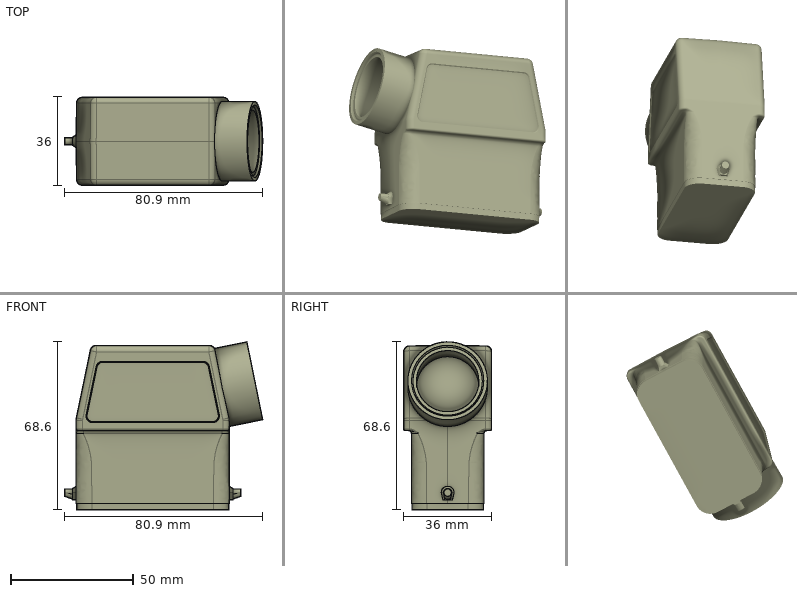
import cadquery as cq
import math


seal_height = 2.5
seal_length = 62.2
seal_width = 29.3
seal_corner_radius = 6.3

hood_half_length = 31.35
hood_width = 36.0
hood_top = 67.15
bend_height = 37.0
slope_angle = 11.7
face_draft = 0.75
bend_radius = 5.0
edge_radius = 2.5

skirt_width = 29.7
ledge_height = 32.3
ledge_outer_radius = 0.7
ledge_cove_radius = 1.2
skirt_corner_radius = 6.3
corner_top_radius = 2.8
corner_taper_start = 16.5
corner_sections = 10

panel_depth = 0.4
panel_wall_taper = 45.0
panel_bottom = 35.6
panel_top = 60.6
panel_margin = 3.8
panel_corner_radius = 2.7

collar_diameter = 32.5
collar_tilt = 11.5
collar_end_x = 41.7
collar_end_z = 52.7
collar_length = 18.0
mouth_diameter = 29.5
mouth_floor_diameter = 28.3
mouth_depth = 0.9
bore_diameter = 25.5
bore_depth = 13.4

peg_diameter = 3.0
peg_height = 7.0
peg_tip_x = 36.0
peg_sag = 1.2
boss_reach = 1.35
boss_root_radius = 2.95
boss_end_radius = 1.7
boss_bottom = 4.05
boss_root_foot = 2.2
boss_end_foot = 1.2
peg_embed = 0.5

slope_run = (hood_top - bend_height) * math.tan(math.radians(slope_angle))
draft_slope = math.tan(math.radians(face_draft))
skirt_half = skirt_width / 2
hood_half_width = hood_width / 2
skirt_end_x = hood_half_length - skirt_half * draft_slope
cove_bottom = ledge_height - ledge_cove_radius
arc_inset = 1 - math.sqrt(0.5)

clearance = 2.0
selection_margin = 1.0


def edges_in(body, low, high):
    """Edges whose centre lies in the box between two opposite corners."""
    return body.edges(cq.selectors.BoxSelector(low, high))


def half_block():
    """+Y half of the hood envelope, its ends and roof drafted away from the middle plane."""
    roof_half = hood_half_length - slope_run
    outline = [
        (-hood_half_length, 0),
        (hood_half_length, 0),
        (hood_half_length, bend_height),
        (roof_half, hood_top),
        (-roof_half, hood_top),
        (-hood_half_length, bend_height),
    ]
    block = cq.Workplane("XZ").polyline(outline).close().extrude(-hood_half_width, taper=face_draft)
    seal_space = cq.Workplane("XY").box(
        3 * hood_half_length, 3 * hood_width, seal_height, centered=(True, True, False)
    )
    return block.cut(seal_space)


def round_half_block(block):
    """Round the bends, then the roof ends, then the rim of the broad face."""
    far_x = hood_half_length + clearance
    inside_y = hood_half_width - selection_margin
    bends = edges_in(
        block,
        (-far_x, selection_margin, bend_height - selection_margin),
        (far_x, inside_y, bend_height + selection_margin),
    )
    block = bends.fillet(bend_radius)
    roof_ends = edges_in(
        block,
        (-far_x, selection_margin, hood_top - selection_margin),
        (far_x, inside_y, hood_top + selection_margin),
    ).edges("not |X")
    block = roof_ends.fillet(edge_radius)
    rim = edges_in(
        block,
        (-far_x, hood_half_width - selection_margin / 2, seal_height + selection_margin),
        (far_x, hood_half_width + selection_margin / 2, hood_top + selection_margin),
    )
    return rim.fillet(edge_radius)


def ledge_cutter():
    """Space beside the skirt; its top gives the ledge its inner cove."""
    cove = ledge_cove_radius
    beyond = hood_half_width + clearance
    return (
        cq.Workplane("YZ")
        .moveTo(skirt_half, 0)
        .lineTo(skirt_half, cove_bottom)
        .threePointArc(
            (skirt_half + cove * arc_inset, ledge_height - cove * arc_inset),
            (skirt_half + cove, ledge_height),
        )
        .lineTo(beyond, ledge_height)
        .lineTo(beyond, 0)
        .close()
        .extrude(hood_half_length + clearance, both=True)
    )


def corner_radius_at(height):
    """Skirt corner radius: constant low down, then shrinking along an arc towards the ledge."""
    rise = cove_bottom - corner_taper_start
    loss = skirt_corner_radius - corner_top_radius
    arc_radius = (rise ** 2 + loss ** 2) / (2 * loss)
    climbed = max(0.0, height - corner_taper_start)
    return skirt_corner_radius - arc_radius + math.sqrt(arc_radius ** 2 - climbed ** 2)


def corner_section(height):
    """Outline of the waste outside the +X +Y skirt corner at one height."""
    radius = corner_radius_at(height)
    inset = radius * arc_inset
    outline = (
        cq.Workplane("XY", origin=(0, 0, height))
        .moveTo(skirt_end_x + radius * draft_slope, skirt_half - radius)
        .threePointArc(
            (skirt_end_x - inset, skirt_half - inset),
            (skirt_end_x - radius, skirt_half),
        )
        .lineTo(skirt_end_x - radius, skirt_half + clearance)
        .lineTo(skirt_end_x + clearance, skirt_half + clearance)
        .lineTo(skirt_end_x + clearance, skirt_half - radius)
        .close()
    )
    return outline.val()


def corner_cutter():
    """Waste outside the +X +Y skirt corner, lofted from the seal to the foot of the cove."""
    step = (cove_bottom - seal_height) / corner_sections
    wires = [corner_section(seal_height + i * step) for i in range(corner_sections + 1)]
    return cq.Workplane(cq.Solid.makeLoft(wires))


def corner_cove_cutter():
    """The ledge cove carried round the +X +Y skirt corner as a quarter turn."""
    cove = ledge_cove_radius
    inner = corner_top_radius
    outer = inner + hood_half_width - skirt_half - ledge_outer_radius
    axis_x = skirt_end_x - inner
    axis_y = skirt_half - inner
    return (
        cq.Workplane("XZ", origin=(axis_x, axis_y, 0))
        .moveTo(inner, cove_bottom)
        .threePointArc(
            (inner + cove * arc_inset, ledge_height - cove * arc_inset),
            (inner + cove, ledge_height),
        )
        .lineTo(outer, ledge_height)
        .lineTo(outer, cove_bottom)
        .close()
        .revolve(90, (0, 0, 0), (0, 1, 0))
    )


def round_ledge_lip(half):
    """Round the outer edge of the ledge, along the face and round both corners."""
    far_x = hood_half_length + clearance
    margin = selection_margin / 4
    lip = edges_in(
        half,
        (-far_x, skirt_half + ledge_cove_radius + margin, ledge_height - margin),
        (far_x, hood_half_width + clearance, ledge_height + margin),
    )
    return lip.fillet(ledge_outer_radius)


def panel_cutter():
    """Sunken label panel on the +Y face: ends parallel to the hood slopes, walls flared."""
    lean = math.tan(math.radians(slope_angle))
    low = hood_half_length - panel_margin + (bend_height - panel_bottom) * lean
    high = low - (panel_top - panel_bottom) * lean
    corners = [(-low, panel_bottom), (low, panel_bottom), (high, panel_top), (-high, panel_top)]
    outline = cq.Sketch().polygon(corners + corners[:1]).vertices().fillet(panel_corner_radius)
    return (
        cq.Workplane("XZ", origin=(0, hood_half_width, 0))
        .placeSketch(outline)
        .extrude(panel_depth, taper=panel_wall_taper)
    )


def hood_shell():
    """Solid hood with skirt, ledge and label panels, shaped on the +Y half and mirrored."""
    half = round_half_block(half_block())
    half = half.cut(ledge_cutter())
    for cutter in (corner_cutter(), corner_cove_cutter()):
        half = half.cut(cutter).cut(cutter.mirror("YZ"))
    half = round_ledge_lip(half)
    half = half.cut(panel_cutter())
    return half.union(half.mirror("XZ"))


def collar_plane():
    """Plane on the collar's end face, with its normal pointing back into the hood."""
    tilt = math.radians(collar_tilt)
    return cq.Plane(
        origin=(collar_end_x, 0, collar_end_z),
        xDir=(0, 1, 0),
        normal=(-math.cos(tilt), 0, -math.sin(tilt)),
    )


def collar_cylinder(diameter, length):
    """Cylinder on the collar axis, running inwards from the end face."""
    return cq.Workplane(collar_plane()).circle(diameter / 2).extrude(length)


def collar_mouth():
    """Shallow recess in the collar's end face, narrowing slightly to a flat floor."""
    return (
        cq.Workplane(collar_plane())
        .circle(mouth_diameter / 2)
        .workplane(offset=mouth_depth)
        .circle(mouth_floor_diameter / 2)
        .loft()
    )


def boss_section(x, radius, foot):
    """Boss outline at one X: half circle on top, tapering to a flat foot below."""
    return (
        cq.Workplane("YZ", origin=(x, 0, 0))
        .moveTo(-radius, peg_height)
        .threePointArc((0, peg_height + radius), (radius, peg_height))
        .lineTo(foot, boss_bottom)
        .lineTo(-foot, boss_bottom)
        .close()
        .val()
    )


def locking_peg():
    """Peg at the +X end: conical boss, round pin and a sloping web under the pin."""
    boss_end = hood_half_length + boss_reach
    root = hood_half_length - peg_embed
    boss = cq.Workplane(cq.Solid.makeLoft([
        boss_section(root, boss_root_radius, boss_root_foot),
        boss_section(boss_end, boss_end_radius, boss_end_foot),
    ], True))
    pin = (
        cq.Workplane("YZ", origin=(root, 0, peg_height))
        .circle(peg_diameter / 2)
        .extrude(peg_tip_x - root)
    )
    web = (
        cq.Workplane("YZ", origin=(boss_end, 0, peg_height - peg_sag))
        .circle(peg_diameter / 2)
        .workplane(offset=peg_tip_x - boss_end)
        .center(0, peg_sag)
        .circle(peg_diameter / 2)
        .loft(combine=True)
    )
    return boss.union(pin).union(web)


def make_hood():
    """Hood shell with the bored collar and a locking peg at each end."""
    hood = hood_shell().union(collar_cylinder(collar_diameter, collar_length))
    hood = hood.cut(collar_mouth())
    hood = hood.cut(collar_cylinder(bore_diameter, bore_depth))
    peg = locking_peg()
    return hood.union(peg).union(peg.mirror("YZ"))


def make_seal():
    """Plain seal plate under the skirt, slightly smaller than the skirt all round."""
    return (
        cq.Workplane("XY")
        .rect(seal_length, seal_width)
        .extrude(seal_height)
        .edges("|Z")
        .fillet(seal_corner_radius)
    )


hood = make_hood()
seal = make_seal()
result = cq.Compound.makeCompound([hood.val(), seal.val()])